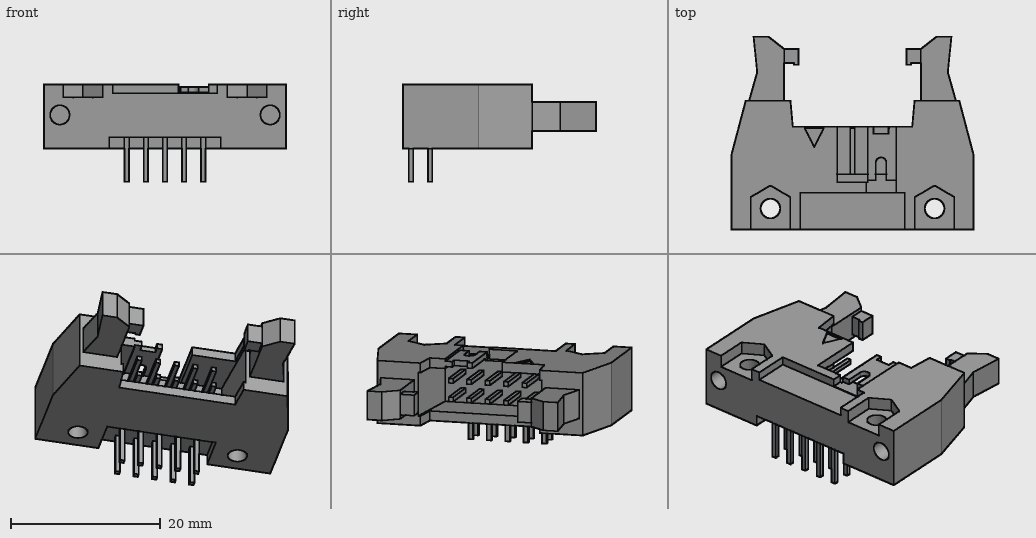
import cadquery as cq


half_width = 16.15
body_height = 8.55
body_length = 17.2
taper_start = 10.0
ear_outer_x = 14.25
ear_inner_x = 8.27
ear_root_x = 7.95
mouth_y = 13.73

wall = 1.32
cavity_floor_y = 7.4
ear_recess = 0.3
ear_slope = (ear_inner_x - ear_root_x) / (body_length - mouth_y)
cavity_mouth_x = ear_inner_x + ear_recess
cavity_floor_x = cavity_mouth_x - ear_slope * (body_length - cavity_floor_y)
cavity_top = body_height - wall

hole_diameter = 2.6
mount_x = 10.95
mount_y = 2.8
pocket_width = 5.3
pocket_shoulder_y = 4.33
pocket_tip_y = 5.88
pocket_depth = 1.75
front_hole_x = 14.02
front_hole_z = 4.5
front_hole_depth = 3.23

recess_width = 14.0
recess_length = 4.95
recess_depth = 1.15
leg_slot_width = 14.92
leg_slot_height = 1.52

notch_left_x = -2.07
notch_end_y = 6.33
tongue_left_x = 2.05
channel_left_x = 1.8
channel_right_x = 5.8
channel_depth = 1.05
channel_floor_z = body_height - channel_depth
tongue_drop = 0.32
tongue_end_y = 6.55
tongue_x = 3.8
slit_width = 1.42
slit_tip_y = 9.63
tongue_gap_width = 2.07
tongue_gap_depth = 0.95

mark_width = 2.52
mark_length = 2.5
mark_depth = 0.2

pins_per_row = 5
pitch = 2.55
pin_size = 0.6
pin_tip_y = 13.5
leg_length = 4.43
leg_anchor = 0.97
first_leg_y = 1.05
pin_row_center_z = body_height / 2

latch_height = 3.9
latch_inner_x = 9.1
latch_tip_y = 25.75
hook_top_y = 24.1
hook_bottom_y = 22.2
hook_tip_x = 7.17
hook_height = 2.8
hook_lip_width = 0.65
hook_lip_length = 0.23
latch_outline = [
    (latch_inner_x, body_length),
    (latch_inner_x, hook_top_y),
    (11.2, latch_tip_y),
    (13.2, latch_tip_y),
    (12.73, 21.0),
    (13.8, body_length),
]


def box(x0, x1, y0, y1, z0, z1):
    """Block between two opposite corners."""
    return cq.Workplane("XY").box(x1 - x0, y1 - y0, z1 - z0, centered=False).translate((x0, y0, z0))


def prism(points, z0, z1):
    """Upright prism on a polygon in the XY plane."""
    return cq.Workplane("XY").workplane(offset=z0).polyline(points).close().extrude(z1 - z0)


def mirrored(half_outline):
    """Close a right-hand outline with its mirror image about the YZ plane."""
    return half_outline + [(-x, y) for x, y in reversed(half_outline)]


def both_sides(solid):
    """A right-hand solid together with its mirror image."""
    return solid.union(solid.mirror("YZ"))


def housing():
    outline = mirrored([
        (half_width, 0),
        (half_width, taper_start),
        (ear_outer_x, body_length),
        (ear_inner_x, body_length),
        (ear_root_x, mouth_y),
    ])
    cavity = mirrored([
        (cavity_floor_x, cavity_floor_y),
        (cavity_mouth_x, body_length),
    ])
    return prism(outline, 0, body_height).cut(prism(cavity, wall, cavity_top))


def mounting_cut():
    """Pointed pocket, vertical through hole and blind front hole of the right end."""
    left = mount_x - pocket_width / 2
    right = mount_x + pocket_width / 2
    pocket_outline = [
        (left, 0),
        (right, 0),
        (right, pocket_shoulder_y),
        (mount_x, pocket_tip_y),
        (left, pocket_shoulder_y),
    ]
    pocket = prism(pocket_outline, body_height - pocket_depth, body_height)
    radius = hole_diameter / 2
    through_hole = cq.Workplane("XY").center(mount_x, mount_y).circle(radius).extrude(body_height)
    front_plane = cq.Workplane("XZ").center(front_hole_x, front_hole_z)
    front_hole = front_plane.circle(radius).extrude(-front_hole_depth)
    return pocket.union(through_hole).union(front_hole)


def front_cuts():
    half_recess = recess_width / 2
    half_slot = leg_slot_width / 2
    recess = box(-half_recess, half_recess, 0, recess_length, body_height - recess_depth, body_height)
    leg_slot = box(-half_slot, half_slot, 0, recess_length, 0, leg_slot_height)
    return recess.union(leg_slot)


def keying_cut():
    """Notch through the top wall, joined to the tongue channel."""
    notch = box(notch_left_x, tongue_left_x, notch_end_y, mouth_y, cavity_top, body_height)
    channel = box(channel_left_x, channel_right_x, recess_length, mouth_y, channel_floor_z, body_height)
    opening = box(tongue_left_x, channel_right_x, cavity_floor_y, mouth_y, cavity_top, body_height)
    return notch.union(channel).union(opening)


def tongue():
    z0 = channel_floor_z
    z1 = body_height - tongue_drop
    plate = box(tongue_left_x, channel_right_x, tongue_end_y, mouth_y, z0, z1)
    radius = slit_width / 2
    slit_center_y = slit_tip_y - radius
    slit = box(tongue_x - radius, tongue_x + radius, tongue_end_y, slit_center_y, z0, z1)
    slit_end = cq.Workplane("XY", origin=(tongue_x, slit_center_y, z0)).circle(radius).extrude(z1 - z0)
    half_gap = tongue_gap_width / 2
    gap = box(tongue_x - half_gap, tongue_x + half_gap, mouth_y - tongue_gap_depth, mouth_y, z0, z1)
    return plate.cut(slit).cut(slit_end).cut(gap)


def pin_one_mark():
    x = -pitch * (pins_per_row - 1) / 2
    points = [(x - mark_width / 2, pin_tip_y), (x + mark_width / 2, pin_tip_y), (x, pin_tip_y - mark_length)]
    return prism(points, body_height - mark_depth, body_height)


def pins():
    """Contact pins in the cavity and the legs below, anchored in the housing."""
    half = pin_size / 2
    leg_top = leg_slot_height + leg_anchor
    solids = cq.Workplane("XY")
    for column in range(pins_per_row):
        x = pitch * (column - (pins_per_row - 1) / 2)
        for row in range(2):
            z = pin_row_center_z + pitch * (row - 0.5)
            y = first_leg_y + pitch * row
            solids = solids.union(box(x - half, x + half, recess_length, pin_tip_y, z - half, z + half))
            solids = solids.union(box(x - half, x + half, y - half, y + half, -leg_length, leg_top))
    return solids


def latch():
    """Ejector latch of the right end with its inward hook."""
    middle = body_height / 2
    arm = prism(latch_outline, middle - latch_height / 2, middle + latch_height / 2)
    z0 = middle - hook_height / 2
    z1 = middle + hook_height / 2
    hook = box(hook_tip_x, latch_inner_x, hook_bottom_y, hook_top_y, z0, z1)
    lip = box(hook_tip_x, hook_tip_x + hook_lip_width, hook_bottom_y - hook_lip_length, hook_bottom_y, z0, z1)
    return arm.union(hook).union(lip)


result = (
    housing()
    .cut(both_sides(mounting_cut()))
    .cut(front_cuts())
    .cut(keying_cut())
    .cut(pin_one_mark())
    .union(tongue())
    .union(pins())
    .union(both_sides(latch()))
)